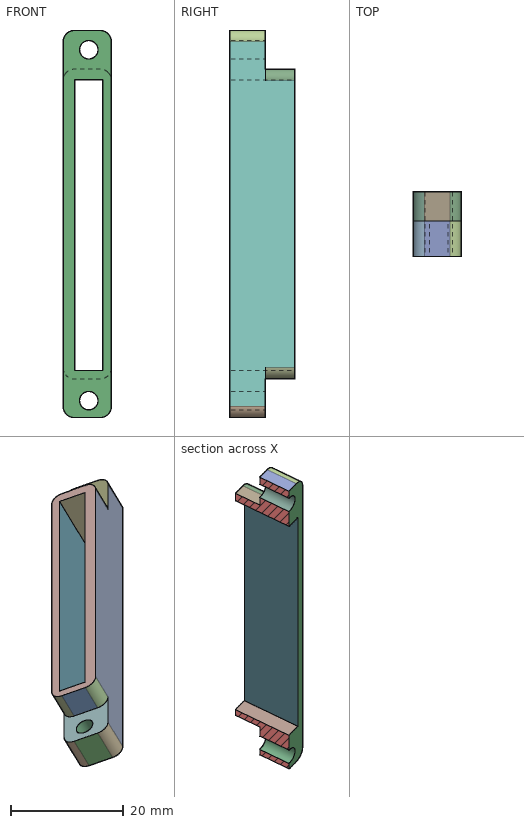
import cadquery as cq

width = 8.65
height = 69.15
total_depth = 11.6
flange_depth = 6.35
corner_radius = 2.0

body_height = 55.3
body_depth = total_depth - flange_depth

opening_x = 0.3
opening_z = -0.2
slot_width = 5.0
slot_height = 51.9
hole_diameter = 3.25
hole_spacing = 62.65


def rounded_block(block_height, front_y, depth):
    """Full-width block with rounded corners, running back from front_y."""
    return (
        cq.Workplane("XY")
        .box(width, depth, block_height)
        .edges("|Y")
        .fillet(corner_radius)
        .translate((0, front_y + depth / 2, 0))
    )


def slot_cutter():
    """Rectangular opening through the full depth."""
    return (
        cq.Workplane("XY")
        .box(slot_width, total_depth, slot_height)
        .translate((opening_x, total_depth / 2, opening_z))
    )


def screw_hole(side):
    """Hole through the flange, above (+1) or below (-1) the slot."""
    hole_z = opening_z + side * hole_spacing / 2
    return (
        cq.Workplane("XZ", origin=(opening_x, 0, hole_z))
        .circle(hole_diameter / 2)
        .extrude(-flange_depth)
    )


flange = rounded_block(height, 0, flange_depth)
body = rounded_block(body_height, flange_depth, body_depth)

result = flange.union(body).cut(slot_cutter())
for side in (1, -1):
    result = result.cut(screw_hole(side))